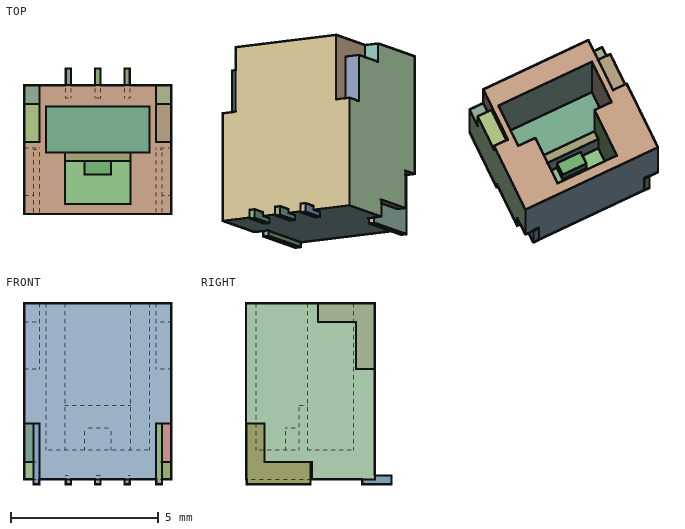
import cadquery as cq

BODY_WIDTH = 5.0
BODY_DEPTH = 4.385
BODY_HEIGHT = 5.98
STANDOFF = 0.17

SOCKET_WIDTH = 3.52
SOCKET_FRONT = 2.1
SOCKET_BACK = 3.65
BAY_WIDTH = 2.23
BAY_FRONT = 0.35
SOCKET_FLOOR = 1.0

WALL_FRONT = 1.8
WALL_TOP = 2.5
TOOTH_WIDTH = 0.9
TOOTH_LENGTH = 0.45
TOOTH_TOP = 1.75

RECESS_DEPTH = 0.52
LEG_WIDTH = 0.64
UPPER_LEG_LENGTH = 1.93
UPPER_LEG_DROP = 2.24
LOWER_LEG_LENGTH = 2.25
LOWER_LEG_WIDTH = 0.59
LOWER_LEG_RISE = 1.89

CLIP_THICKNESS = 0.21
CLIP_SETBACK = 0.025
CLIP_END_GAP = 0.05

PIN_COUNT = 3
PIN_PITCH = 1.0
PIN_WIDTH = 0.19
PIN_HEIGHT = 0.3
PIN_LENGTH = 1.0
PIN_OVERHANG = 0.565


def block(width, front, back, bottom, top, x_center=0.0):
    """Box of the given width about x_center, between Y and Z limits."""
    size = (width, back - front, top - bottom)
    return cq.Workplane("XY").box(*size, centered=(True, False, False)).translate((x_center, front, bottom))


def both_sides(solid):
    """The solid together with its mirror image across the YZ plane."""
    return solid.union(solid.mirror("YZ"))


def upper_recess():
    x = (BODY_WIDTH - RECESS_DEPTH) / 2
    top_leg = block(
        RECESS_DEPTH, BODY_DEPTH - UPPER_LEG_LENGTH, BODY_DEPTH, BODY_HEIGHT - LEG_WIDTH, BODY_HEIGHT, x
    )
    back_leg = block(
        RECESS_DEPTH, BODY_DEPTH - LEG_WIDTH, BODY_DEPTH, BODY_HEIGHT - UPPER_LEG_DROP, BODY_HEIGHT, x
    )
    return both_sides(top_leg.union(back_leg))


def lower_l_shape(thickness, x_center, front, back, bottom):
    """L standing at the front of the housing with its foot along the underside."""
    upright = block(thickness, front, LEG_WIDTH, bottom, LOWER_LEG_RISE, x_center)
    foot = block(thickness, front, back, bottom, LOWER_LEG_WIDTH, x_center)
    return both_sides(upright.union(foot))


def lower_recess():
    x = (BODY_WIDTH - RECESS_DEPTH) / 2
    return lower_l_shape(RECESS_DEPTH, x, 0, LOWER_LEG_LENGTH, 0)


def clips():
    x = BODY_WIDTH / 2 - RECESS_DEPTH + CLIP_THICKNESS / 2
    return lower_l_shape(CLIP_THICKNESS, x, CLIP_SETBACK, LOWER_LEG_LENGTH - CLIP_END_GAP, -STANDOFF)


def plug_opening():
    socket = block(SOCKET_WIDTH, SOCKET_FRONT, SOCKET_BACK, SOCKET_FLOOR, BODY_HEIGHT)
    bay = block(BAY_WIDTH, BAY_FRONT, SOCKET_FRONT, SOCKET_FLOOR, BODY_HEIGHT)
    wall = block(BAY_WIDTH, WALL_FRONT, SOCKET_FRONT, SOCKET_FLOOR, WALL_TOP)
    tooth = block(TOOTH_WIDTH, WALL_FRONT - TOOTH_LENGTH, WALL_FRONT, SOCKET_FLOOR, TOOTH_TOP)
    return socket.union(bay).cut(wall).cut(tooth)


def pin(x_center):
    back = BODY_DEPTH + PIN_OVERHANG
    return block(PIN_WIDTH, back - PIN_LENGTH, back, -STANDOFF, PIN_HEIGHT - STANDOFF, x_center)


result = block(BODY_WIDTH, 0, BODY_DEPTH, 0, BODY_HEIGHT)
result = result.cut(upper_recess()).cut(lower_recess()).cut(plug_opening())
result = result.union(clips())
for index in range(PIN_COUNT):
    result = result.union(pin((index - (PIN_COUNT - 1) / 2) * PIN_PITCH))